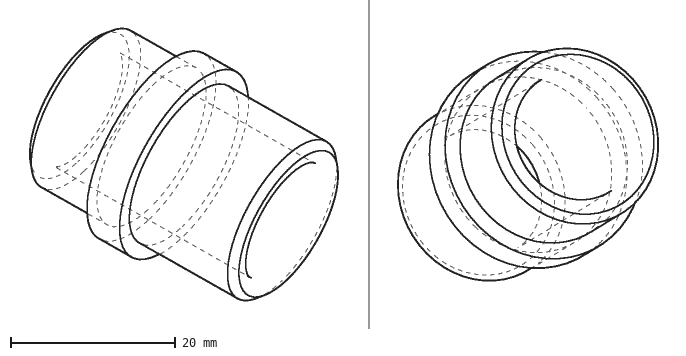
import cadquery as cq

length = 32.0
barrel_diameter = 22.0
bore_diameter = 16.0
flange_diameter = 26.0
flange_start = 11.0
flange_width = 5.0
edge_size = 1.0


def cylinder_along_x(diameter, start, width):
    return cq.Workplane("YZ").workplane(offset=start).circle(diameter / 2).extrude(width)


barrel = cylinder_along_x(barrel_diameter, 0, length)
barrel = barrel.faces("<X or >X").edges().chamfer(edge_size)

flange = cylinder_along_x(flange_diameter, flange_start, flange_width)
body = barrel.union(flange)

body = body.cut(cylinder_along_x(bore_diameter, 0, length))
mouth_edges = body.edges(cq.selectors.RadiusNthSelector(0))
result = mouth_edges.fillet(edge_size)